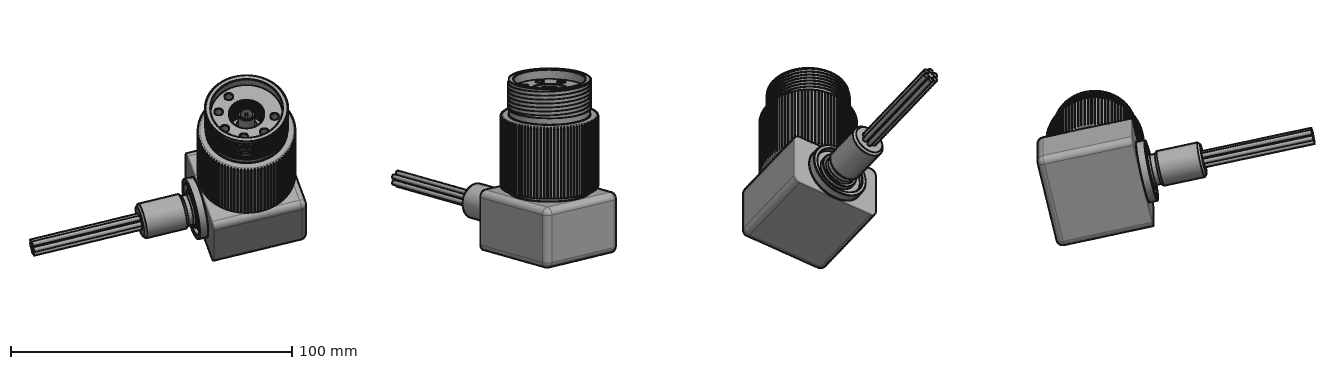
import cadquery as cq
import math

BLOCK_SIDE = 34.9
BLOCK_HEIGHT = 22.3
BLOCK_FILLET = 2.4
EDGE_ROUND = 0.2
FRONT_Y = -BLOCK_SIDE / 2
CABLE_Z = BLOCK_HEIGHT / 2

FLANGE_D = 22.1
FLANGE_LENGTH = 3.2
FLANGE_RECESS_D = 18.9
FLANGE_RECESS_DEPTH = 1.7
COLLAR_D = 14.2
COLLAR_END = 3.1
STEM_ROOT_D = 11.8
STEM_D = 11.1
STEM_START = 3.9
STEM_END = 5.6
BOOT_D = 12.7
BOOT_END = 22.1
BOOT_CHAMFER = 0.9

WIRE_TIP = 62.1
CORE_WIRE_D = 2.4
OUTER_WIRE_D = 1.7
OUTER_WIRE_COUNT = 6
WIRE_CIRCLE_R = 2.1

TOTAL_HEIGHT = 63.75
SLEEVE_BOTTOM = 24.1
SLEEVE_TOP = 50.65
SLEEVE_D = BLOCK_SIDE
SLEEVE_ROUND = 0.8
KNURL_COUNT = 90
KNURL_WIDTH = 0.4
FIRST_KNURL_ANGLE = 1.0
KNURL_DEPTH = 0.3
RELIEF_D = 28.9
THREAD_BOTTOM = 53.2
THREAD_ROOT_D = 29.1
THREAD_CREST_D = 29.8
THREAD_END_CHAMFER = 0.4
THREAD_PITCH = 2.9
THREAD_RIDGE = 1.5
RIDGE_EMBED = 0.3
CREST_CLEARANCE = 0.2
BORE_D = 25.6

NECK_D = 28.5
INSERT_TOP = 60.3
SOCKET_D = 12.3
SOCKET_DEPTH = 9.7
SOCKET_GROOVE_COUNT = 4
SOCKET_GROOVE_FIRST = 1.65
SOCKET_GROOVE_PITCH = 1.9
SOCKET_GROOVE_WIDTH = 1.0
SOCKET_GROOVE_DEPTH = 0.3
HUB_D = 7.9
HUB_HEIGHT = 1.9
TUBE_D = 5.9
TUBE_BORE_D = 4.6
CENTRE_PIN_D = 0.77

CONTACT_CIRCLE_R = 10.0
CONTACT_STEP = 45.0
FIRST_CONTACT_ANGLE = -157.5
CONTACT_COUNT = 6
CONTACT_HOLE_D = 2.8
CONTACT_HOLE_DEPTH = 4.9
CONTACT_BORE_D = 2.0
CONTACT_BORE_DEPTH = 2.9
DRILL_POINT_DEPTH = 0.6
CONTACT_PIN_D = 1.4
CONTACT_PIN_TIP_D = 0.2
CONTACT_PIN_TAPER = 0.3


def cylinder(diameter, bottom, top, x=0.0, y=0.0):
    """Vertical cylinder between two heights."""
    return cq.Workplane("XY", origin=(x, y, bottom)).circle(diameter / 2).extrude(top - bottom)


def cable_cylinder(diameter, start, end, x=0.0, z=0.0):
    """Cylinder along the cable, between two distances forward of the block front."""
    plane = cq.Workplane("XZ", origin=(x, FRONT_Y - start, CABLE_Z + z))
    return plane.circle(diameter / 2).extrude(end - start)


def cable_revolve(section):
    """Solid turned about the cable axis from (radius, distance forward of the block front) points."""
    plane = cq.Plane(origin=(0, FRONT_Y, CABLE_Z), xDir=(1, 0, 0), normal=(0, 0, -1))
    return cq.Workplane(plane).polyline(section).close().revolve(360, (0, 0), (0, 1))


def cone(bottom_d, top_d, bottom, top, x=0.0, y=0.0):
    """Vertical cone between two heights."""
    solid = cq.Solid.makeCone(bottom_d / 2, top_d / 2, top - bottom, cq.Vector(x, y, bottom))
    return cq.Workplane(solid)


def rim_bevel(diameter, top, x=0.0, y=0.0):
    """Cutter that breaks the upper rim of a vertical hole."""
    return cone(diameter, diameter + 2 * EDGE_ROUND, top - EDGE_ROUND, top, x, y)


def root_flare(diameter, bottom):
    """Small flare at the foot of a vertical cylinder."""
    return cone(diameter + 2 * EDGE_ROUND, diameter, bottom, bottom + EDGE_ROUND)


def make_block():
    block = cq.Workplane("XY").box(BLOCK_SIDE, BLOCK_SIDE, BLOCK_HEIGHT, centered=(True, True, False))
    block = block.edges("|Y or >Y").fillet(BLOCK_FILLET)
    return block.faces("<Y").edges().fillet(EDGE_ROUND)


def make_cable_outlet():
    flange_r = FLANGE_D / 2
    recess_r = FLANGE_RECESS_D / 2
    recess_floor = FLANGE_LENGTH - FLANGE_RECESS_DEPTH
    flange = [
        (0, 0),
        (BLOCK_HEIGHT / 2, 0),
        (flange_r, EDGE_ROUND),
        (flange_r, FLANGE_LENGTH - EDGE_ROUND),
        (flange_r - EDGE_ROUND, FLANGE_LENGTH),
        (recess_r + EDGE_ROUND, FLANGE_LENGTH),
        (recess_r, FLANGE_LENGTH - EDGE_ROUND),
        (recess_r, recess_floor),
        (0, recess_floor),
    ]
    boot = [
        (0, 0),
        (COLLAR_D / 2, 0),
        (COLLAR_D / 2, COLLAR_END - EDGE_ROUND),
        (COLLAR_D / 2 - EDGE_ROUND, COLLAR_END),
        (STEM_ROOT_D / 2, COLLAR_END),
        (STEM_D / 2, STEM_START),
        (STEM_D / 2, STEM_END),
        (BOOT_D / 2, STEM_END + BOOT_CHAMFER),
        (BOOT_D / 2, BOOT_END - BOOT_CHAMFER),
        (BOOT_D / 2 - BOOT_CHAMFER, BOOT_END),
        (0, BOOT_END),
    ]
    return cable_revolve(flange).union(cable_revolve(boot))


def make_wires():
    wires = [cable_cylinder(CORE_WIRE_D, BOOT_END, WIRE_TIP)]
    for i in range(OUTER_WIRE_COUNT):
        angle = math.radians(90 + i * 360 / OUTER_WIRE_COUNT)
        x = WIRE_CIRCLE_R * math.cos(angle)
        z = WIRE_CIRCLE_R * math.sin(angle)
        wires.append(cable_cylinder(OUTER_WIRE_D, BOOT_END, WIRE_TIP, x, z))
    return wires


def make_socket():
    """Cavity of the grooved central socket, with its tube and pin left standing."""
    floor = INSERT_TOP - SOCKET_DEPTH
    cavity = cylinder(SOCKET_D, floor, INSERT_TOP).union(rim_bevel(SOCKET_D, INSERT_TOP))
    for i in range(SOCKET_GROOVE_COUNT):
        top = INSERT_TOP - SOCKET_GROOVE_FIRST - i * SOCKET_GROOVE_PITCH
        groove_d = SOCKET_D + 2 * SOCKET_GROOVE_DEPTH
        cavity = cavity.union(cylinder(groove_d, top - SOCKET_GROOVE_WIDTH, top))
    tube = cylinder(TUBE_D, floor, INSERT_TOP).cut(cylinder(TUBE_BORE_D, floor, INSERT_TOP))
    hub = cylinder(HUB_D, floor, floor + HUB_HEIGHT)
    pin = cylinder(CENTRE_PIN_D, floor, INSERT_TOP)
    return cavity.cut(hub).cut(tube).cut(pin)


def make_contact(x, y, has_pin):
    """Cavity of one contact: a wide hole, then a narrow bore that ends in a drill point or holds a pin."""
    step = INSERT_TOP - CONTACT_HOLE_DEPTH
    floor = step - CONTACT_BORE_DEPTH
    cavity = cylinder(CONTACT_HOLE_D, step, INSERT_TOP, x, y)
    cavity = cavity.union(rim_bevel(CONTACT_HOLE_D, INSERT_TOP, x, y))
    cavity = cavity.union(cylinder(CONTACT_BORE_D, floor, step, x, y))
    if has_pin:
        pin = cylinder(CONTACT_PIN_D, floor, step, x, y)
        tip_taper = (CONTACT_PIN_D - CONTACT_PIN_TIP_D) / 2
        return cavity.cut(pin.faces(">Z").chamfer(CONTACT_PIN_TAPER, tip_taper))
    return cavity.union(cone(0, CONTACT_BORE_D, floor - DRILL_POINT_DEPTH, floor, x, y))


def make_insert():
    insert = cylinder(NECK_D, BLOCK_HEIGHT, SLEEVE_BOTTOM)
    insert = insert.union(cylinder(BORE_D, SLEEVE_BOTTOM, INSERT_TOP))
    insert = insert.union(root_flare(NECK_D, BLOCK_HEIGHT))
    insert = insert.cut(make_socket())
    for i in range(CONTACT_COUNT):
        angle = math.radians(FIRST_CONTACT_ANGLE + i * CONTACT_STEP)
        x = CONTACT_CIRCLE_R * math.cos(angle)
        y = CONTACT_CIRCLE_R * math.sin(angle)
        insert = insert.cut(make_contact(x, y, has_pin=i < CONTACT_COUNT - 1))
    return insert


def make_elbow():
    elbow = make_block().union(make_insert()).union(make_cable_outlet())
    for wire in make_wires():
        elbow = elbow.union(wire)
    return elbow


def make_knurled_grip():
    """Sleeve section with V grooves along its length, rounded at both ends."""
    outline = []
    step = 2 * math.pi / KNURL_COUNT
    half_groove = KNURL_WIDTH / SLEEVE_D
    outer = SLEEVE_D / 2
    for i in range(KNURL_COUNT):
        for radius, offset in ((outer, -half_groove), (outer - KNURL_DEPTH, 0), (outer, half_groove)):
            angle = math.radians(FIRST_KNURL_ANGLE) + i * step + offset
            outline.append((radius * math.cos(angle), radius * math.sin(angle)))
    ridges = cq.Workplane("XY", origin=(0, 0, SLEEVE_BOTTOM)).polyline(outline).close()
    ridges = ridges.extrude(SLEEVE_TOP - SLEEVE_BOTTOM)
    envelope = cylinder(SLEEVE_D, SLEEVE_BOTTOM, SLEEVE_TOP).faces("<Z or >Z").edges().fillet(SLEEVE_ROUND)
    return ridges.intersect(envelope)


def make_threaded_barrel():
    """Barrel with a right-hand helical ridge, chamfered at its upper end."""
    start = THREAD_BOTTOM - THREAD_PITCH
    height = TOTAL_HEIGHT - start + THREAD_PITCH
    root = THREAD_ROOT_D / 2
    helix = cq.Wire.makeHelix(THREAD_PITCH, height, root, cq.Vector(0, 0, start))
    inner = root - RIDGE_EMBED
    crest = THREAD_CREST_D / 2
    profile = cq.Workplane("XZ").center((inner + crest) / 2, start).rect(crest - inner, THREAD_RIDGE)
    ridge = profile.sweep(cq.Workplane(helix), isFrenet=True)
    chamfer = THREAD_END_CHAMFER + CREST_CLEARANCE
    envelope = cylinder(THREAD_CREST_D + 2 * CREST_CLEARANCE, THREAD_BOTTOM, TOTAL_HEIGHT)
    envelope = envelope.faces(">Z").edges().chamfer(chamfer)
    barrel = cylinder(THREAD_ROOT_D, THREAD_BOTTOM, TOTAL_HEIGHT)
    return barrel.intersect(envelope).union(ridge.intersect(envelope))


def make_coupling():
    relief = cylinder(RELIEF_D, SLEEVE_TOP, THREAD_BOTTOM).union(root_flare(RELIEF_D, SLEEVE_TOP))
    coupling = make_knurled_grip().union(relief).union(make_threaded_barrel())
    bore = cylinder(BORE_D, SLEEVE_BOTTOM, TOTAL_HEIGHT)
    return coupling.cut(bore).cut(rim_bevel(BORE_D, TOTAL_HEIGHT))


elbow = make_elbow()
coupling = make_coupling()
result = cq.Compound.makeCompound([elbow.val(), coupling.val()])